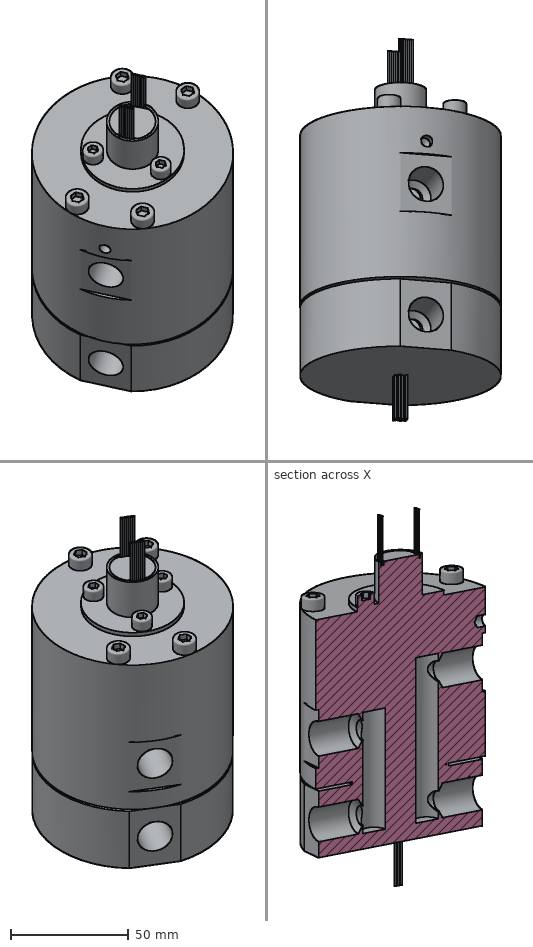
import cadquery as cq
import math

lower_height = 30.1
neck_height = 1.0
upper_height = 76.1
flange_height = 2.0
boss_height = 18.5
upper_lead_length = 19.9
lower_lead_length = 19.5

upper_bottom = lower_height + neck_height
upper_top = upper_bottom + upper_height
flange_top = upper_top + flange_height
boss_top = flange_top + boss_height

body_radius = 43.0
neck_radius = 24.6
flange_radius = 22.0
boss_radius = 11.0

flat_distance = 41.5
flat_width = 22.8
flat_height = 26.1
front_flat_z = 73.5
back_flat_z = 53.5
lower_flat_z = lower_height / 2

port_radius = 7.7
port_depth = 20.0
passage_radius = 4.5
drill_half_angle = math.radians(59)
bore_radius = 5.5
bore_offset = 13.4
bore_end_margin = 3.3

pin_hole_radius = 2.5
pin_hole_depth = 4.0
pin_hole_z = 92.2

recess_radius = 9.9
core_flat_distance = 8.5
core_setback = 0.2
recess_depth = 2.0

outer_screw_circle = 38.0
outer_screw_angles = [67.5, 112.5, 247.5, 292.5]
outer_head_radius = 5.0
outer_head_height = 5.5
outer_hex_flats = 5.0
inner_screw_circle = 17.4
inner_screw_angles = [90, 210, 330]
inner_head_radius = 4.3
inner_head_height = 5.2
inner_hex_flats = 4.0
head_fillet = 0.7
hex_depth_ratio = 0.5

wire_radius = 0.47
upper_wire_count = 7
upper_wire_pitch = 0.92
upper_wire_y = 9.2
bundle_columns = 4
bundle_rows = 3
bundle_pitch = 1.5
bundle_stagger = 0.5
bundle_center_y = 0.2


def cylinder(radius, height, bottom, x=0.0, y=0.0):
    """Vertical cylinder standing at height `bottom`."""
    return cq.Workplane("XY", origin=(x, y, bottom)).circle(radius).extrude(height)


def on_back(shape):
    """Turn a front feature half a turn about Z, onto the back."""
    return shape.rotate((0, 0, 0), (0, 0, 1), 180)


def flat_cutter(z, height):
    """Block that cuts a front flat centred at height z."""
    depth = body_radius - flat_distance
    block = cq.Workplane("XY").box(flat_width, 2 * depth, height)
    return block.translate((0, -flat_distance - depth, z))


def drilled_hole(mouth_y, z, radius, depth):
    """Blind hole drilled toward +Y, with a conical end."""
    shoulder_y = mouth_y + depth
    tip_y = shoulder_y + radius / math.tan(drill_half_angle)
    outline = cq.Workplane("XY").moveTo(0, mouth_y).lineTo(radius, mouth_y)
    outline = outline.lineTo(radius, shoulder_y).lineTo(0, tip_y).close()
    return outline.revolve(360, (0, 0, 0), (0, 1, 0)).translate((0, 0, z))


def passage(upper_z):
    """Front flow path: a port at each body, joined by a closed vertical bore."""
    reach = passage_radius + bore_end_margin
    bore_bottom = lower_flat_z - reach
    path = cylinder(bore_radius, upper_z + reach - bore_bottom, bore_bottom, 0, -bore_offset)
    for z in (lower_flat_z, upper_z):
        link = cq.Workplane("XZ", origin=(0, -bore_offset, z)).circle(passage_radius)
        path = path.union(link.extrude(flat_distance - bore_offset))
        path = path.union(drilled_hole(-flat_distance, z, port_radius, port_depth))
    return path


def screw_head(radius, height, hex_flats):
    """Socket head with a rounded top edge and a hexagonal socket, standing at Z = 0."""
    hex_diameter = hex_flats / math.cos(math.pi / 6)
    head = cylinder(radius, height, 0).faces(">Z").edges().fillet(head_fillet)
    return head.faces(">Z").workplane().polygon(6, hex_diameter).cutBlind(-height * hex_depth_ratio)


def add_screws(body, head, circle_radius, angles, seat_z):
    """Place a head at each angle of a bolt circle."""
    for angle in angles:
        x = circle_radius * math.cos(math.radians(angle))
        y = circle_radius * math.sin(math.radians(angle))
        body = body.union(head.translate((x, y, seat_z)))
    return body


def centered(index, count, pitch):
    """Offset of one item in a row centred on zero."""
    return (index - (count - 1) / 2) * pitch


result = cylinder(body_radius, lower_height, 0)
result = result.union(cylinder(neck_radius, neck_height, lower_height))
result = result.union(cylinder(body_radius, upper_height, upper_bottom))
result = result.union(cylinder(flange_radius, flange_height, upper_top))
result = result.union(cylinder(boss_radius, boss_height, flange_top))

lower_flat = flat_cutter(lower_flat_z, lower_height)
result = result.cut(lower_flat).cut(on_back(lower_flat))
result = result.cut(flat_cutter(front_flat_z, flat_height))
result = result.cut(on_back(flat_cutter(back_flat_z, flat_height)))
result = result.cut(passage(front_flat_z))
result = result.cut(on_back(passage(back_flat_z)))

result = result.cut(drilled_hole(-body_radius, pin_hole_z, pin_hole_radius, pin_hole_depth))

recess_bottom = boss_top - recess_depth
core = cq.Workplane("XY").box(2 * boss_radius, 2 * core_flat_distance, 2 * (recess_depth - core_setback))
recess = cylinder(recess_radius, recess_depth, recess_bottom).cut(core.translate((0, 0, recess_bottom)))
result = result.cut(recess)

outer_head = screw_head(outer_head_radius, outer_head_height, outer_hex_flats)
result = add_screws(result, outer_head, outer_screw_circle, outer_screw_angles, upper_top)
inner_head = screw_head(inner_head_radius, inner_head_height, inner_hex_flats)
result = add_screws(result, inner_head, inner_screw_circle, inner_screw_angles, flange_top)

upper_wire_length = recess_depth + upper_lead_length
for side in (-1, 1):
    for i in range(upper_wire_count):
        wire_x = centered(i, upper_wire_count, upper_wire_pitch)
        wire = cylinder(wire_radius, upper_wire_length, recess_bottom, wire_x, side * upper_wire_y)
        result = result.union(wire)

for column in range(bundle_columns):
    wire_x = centered(column, bundle_columns, bundle_pitch)
    shift_y = bundle_center_y + bundle_stagger * (-1) ** column
    for row in range(bundle_rows):
        wire_y = shift_y + centered(row, bundle_rows, bundle_pitch)
        result = result.union(cylinder(wire_radius, lower_lead_length, -lower_lead_length, wire_x, wire_y))